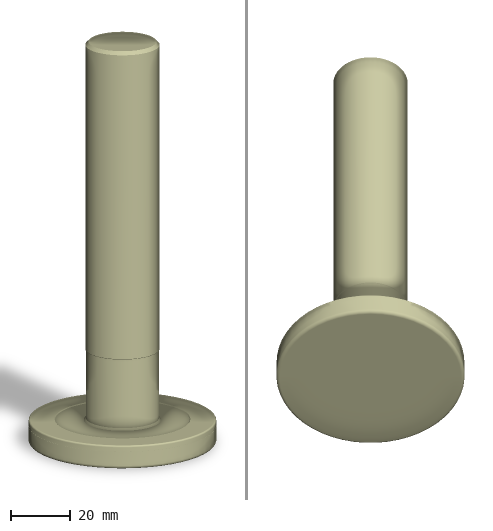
import cadquery as cq

total_height = 140.0
pad_diameter = 63.0

pad_height = 6.0
pad_bottom_flat_diameter = 60.8
pad_bottom_round = (pad_diameter - pad_bottom_flat_diameter) / 2

base_setback = 0.07
base_diameter = pad_diameter - 2 * base_setback
base_top = 8.1
base_top_round = 0.5
recess_diameter = 45.5
recess_depth = 0.3
recess_floor = base_top - recess_depth

rod_diameter = 24.9
rod_top_chamfer = 1.1
neck_diameter = 24.5
neck_top = 32.5
rod_bottom_chamfer = (rod_diameter - neck_diameter) / 2

collar_diameter = 25.9
collar_height = (collar_diameter - neck_diameter) / 2


def cylinder(diameter, bottom, top):
    """Upright cylinder on the Z axis between two heights."""
    return cq.Workplane("XY").workplane(offset=bottom).circle(diameter / 2).extrude(top - bottom)


def cone(bottom_diameter, top_diameter, bottom, height):
    """Upright truncated cone on the Z axis."""
    start = cq.Vector(0, 0, bottom)
    return cq.Workplane(cq.Solid.makeCone(bottom_diameter / 2, top_diameter / 2, height, pnt=start))


def make_pad():
    """Disc with a rounded lower rim."""
    pad = cylinder(pad_diameter, 0, pad_height)
    return pad.faces("<Z").edges().fillet(pad_bottom_round)


def make_base():
    """Recessed disc with a collar and a through hole for the neck."""
    base = cylinder(base_diameter, pad_height, base_top)
    base = base.faces(">Z").edges().fillet(base_top_round)
    recess = cone(recess_diameter - 2 * recess_depth, recess_diameter, recess_floor, recess_depth)
    collar = cone(collar_diameter, neck_diameter, recess_floor, collar_height)
    hole = cylinder(neck_diameter, pad_height, base_top + collar_height)
    return base.cut(recess).union(collar).cut(hole)


def make_spindle():
    """Neck standing on the pad, with the chamfered rod above it."""
    neck = cylinder(neck_diameter, pad_height, neck_top)
    rod = cylinder(rod_diameter, neck_top, total_height)
    rod = rod.faces(">Z").edges().chamfer(rod_top_chamfer)
    rod = rod.faces("<Z").edges().chamfer(rod_bottom_chamfer)
    return neck.union(rod)


pad = make_pad()
base = make_base()
spindle = make_spindle()

result = cq.Compound.makeCompound([body.solids().val() for body in (pad, base, spindle)])